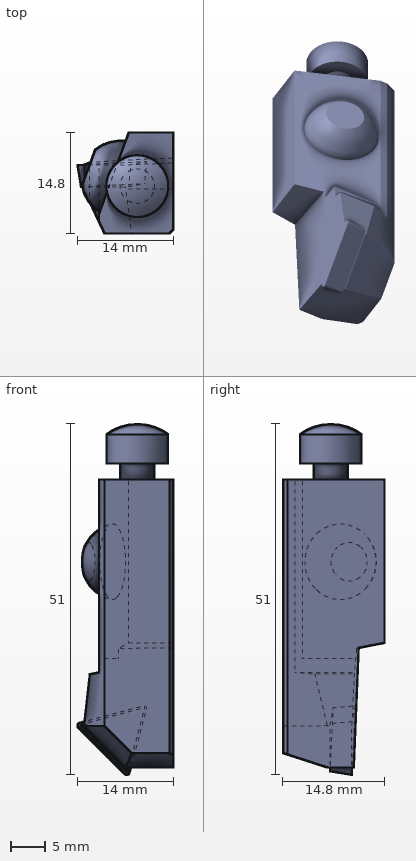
import cadquery as cq
import math


def tan(angle):
    return math.tan(math.radians(angle))


MARGIN = 30.0

right_x = 5.25
back_y = 7.83
front_y = -6.92
front_left_x = -4.77
flank_angle = 25.0
corner_chamfer = 0.6
side_x = -5.58
clamp_face_front_y = -4.08
clamp_face_angle = 20.0
clamp_face_bottom_z = 15.8
shank_top_z = 41.85

ledge_inner_z = 13.78
ledge_outer_x = -6.92
ledge_outer_z = 13.5
nose_foot_x = -7.75
nose_foot_z = 6.1

relief_angle = 18.0
relief_top_y = -0.43
foot_z = -0.1
lead_inset = 0.76

step_back_z = 18.05
step_front_z = 17.3
step_front_y = 3.97

rake_angle = 3.3
clearance_angle = 7.0
insert_edge = 11.0
insert_thickness = 3.18
insert_nose_radius = 0.42
edge_middle = cq.Vector(-5.21, 3.04, 2.35)

clamp_y = 1.4
clamp_z = 29.85
clamp_root_depth = 1.0
rim_diameter = 11.0
rim_height = 0.6
rim_taper = 0.15
dome_base_diameter = 10.38
dome_base_height = 1.0
dome_flat_diameter = 5.6
dome_height = 3.73
dome_radius = 5.6

neck_diameter = 5.0
head_diameter = 9.0
head_bottom_z = 44.15
head_rim_z = 48.4
head_top_z = 49.89

edge_direction = cq.Vector(1, 0, -1).normalized()
outward = cq.Vector(-1, 0, -1).normalized()
rake_normal = outward * tan(rake_angle) + cq.Vector(0, 1, 0)
insert_plane = cq.Plane(edge_middle, edge_direction, rake_normal * -1)
edge_section = cq.Plane(edge_middle, outward, edge_direction)


def make_insert():
    left_corner = (-insert_edge / 2, 0)
    right_corner = (insert_edge / 2, 0)
    apex = (0, insert_edge * math.sin(math.radians(60)))
    rake_face = (
        cq.Sketch()
        .polygon([left_corner, right_corner, apex, left_corner])
        .vertices()
        .fillet(insert_nose_radius)
    )
    return (
        cq.Workplane(insert_plane)
        .placeSketch(rake_face)
        .extrude(insert_thickness, taper=clearance_angle)
    )


def make_shank():
    """Full-length prism: square right side, angled flank on the left."""
    flank_back_x = front_left_x - (back_y - front_y) * tan(flank_angle)
    bar = (
        cq.Workplane("XY", origin=(0, 0, -MARGIN))
        .moveTo(front_left_x, front_y)
        .lineTo(right_x - corner_chamfer, front_y)
        .lineTo(right_x, front_y + corner_chamfer)
        .lineTo(right_x, back_y)
        .lineTo(flank_back_x, back_y)
        .close()
        .extrude(MARGIN + shank_top_z)
    )
    return bar.intersect(make_side_outline())


def make_side_outline():
    """Left outline: flat side, sloping ledge and nose widening towards the foot."""
    nose_slope = (nose_foot_x - ledge_outer_x) / (nose_foot_z - ledge_outer_z)
    nose_bottom_x = nose_foot_x - (MARGIN + nose_foot_z) * nose_slope
    return (
        cq.Workplane("XZ")
        .moveTo(side_x, shank_top_z)
        .lineTo(side_x, ledge_inner_z)
        .lineTo(ledge_outer_x, ledge_outer_z)
        .lineTo(nose_bottom_x, -MARGIN)
        .lineTo(MARGIN, -MARGIN)
        .lineTo(MARGIN, shank_top_z)
        .close()
        .extrude(MARGIN, both=True)
    )


def make_clamp_face_cut():
    far_x = side_x + MARGIN * tan(clamp_face_angle)
    return (
        cq.Workplane("XY", origin=(0, 0, clamp_face_bottom_z))
        .moveTo(side_x, clamp_face_front_y)
        .lineTo(far_x, clamp_face_front_y + MARGIN)
        .lineTo(side_x - MARGIN, clamp_face_front_y + MARGIN)
        .lineTo(side_x - MARGIN, clamp_face_front_y)
        .close()
        .extrude(MARGIN)
    )


def make_foot_cut():
    """Everything below the foot: level at the back, relieved towards the front."""
    return (
        cq.Workplane("YZ")
        .moveTo(MARGIN, foot_z)
        .lineTo(relief_top_y, foot_z)
        .lineTo(relief_top_y - MARGIN, foot_z + MARGIN * tan(relief_angle))
        .lineTo(relief_top_y - MARGIN, -MARGIN)
        .lineTo(MARGIN, -MARGIN)
        .close()
        .extrude(MARGIN, both=True)
    )


def make_lead_cut():
    """Everything outside the 45 degree face, which is relieved like the foot."""
    relief_start = relief_top_y - edge_middle.y
    return (
        cq.Workplane(edge_section)
        .moveTo(-lead_inset, MARGIN)
        .lineTo(-lead_inset, relief_start)
        .lineTo(-lead_inset - MARGIN * tan(relief_angle), relief_start - MARGIN)
        .lineTo(MARGIN, relief_start - MARGIN)
        .lineTo(MARGIN, MARGIN)
        .close()
        .extrude(MARGIN, both=True)
    )


def make_back_cut():
    """Lowers the back of the nose to the rake plane, up to a sloping step."""
    above_rake_plane = cq.Workplane(insert_plane).rect(4 * MARGIN, 4 * MARGIN).extrude(-MARGIN)
    step_slope = (step_back_z - step_front_z) / (back_y - step_front_y)
    below_step = (
        cq.Workplane("YZ")
        .moveTo(0, step_front_z - step_front_y * step_slope)
        .lineTo(MARGIN, step_front_z + (MARGIN - step_front_y) * step_slope)
        .lineTo(MARGIN, -MARGIN)
        .lineTo(0, -MARGIN)
        .close()
        .extrude(MARGIN, both=True)
    )
    return above_rake_plane.intersect(below_step)


def make_clamp_head():
    """Domed screw head with a flat top, square to the clamp face."""
    face_x = side_x + (clamp_y - clamp_face_front_y) * tan(clamp_face_angle)
    angle = math.radians(clamp_face_angle)
    axis = cq.Vector(-math.cos(angle), math.sin(angle), 0)
    section = cq.Plane((face_x, clamp_y, clamp_z), (0, 0, 1), cq.Vector(0, 0, 1).cross(axis))
    return (
        cq.Workplane(section)
        .moveTo(0, -clamp_root_depth)
        .lineTo(rim_diameter / 2, -clamp_root_depth)
        .lineTo(rim_diameter / 2, 0)
        .lineTo(rim_diameter / 2 - rim_taper, rim_height)
        .lineTo(dome_base_diameter / 2, dome_base_height)
        .radiusArc((dome_flat_diameter / 2, dome_height), -dome_radius)
        .lineTo(0, dome_height)
        .close()
        .revolve(360, (0, 0), (0, 1))
    )


def make_setting_screw():
    """Narrow neck and cylindrical head with a spherical top."""
    head_radius = head_diameter / 2
    crown = head_top_z - head_rim_z
    crown_radius = (head_radius**2 + crown**2) / (2 * crown)
    return (
        cq.Workplane("XZ")
        .moveTo(0, shank_top_z)
        .lineTo(neck_diameter / 2, shank_top_z)
        .lineTo(neck_diameter / 2, head_bottom_z)
        .lineTo(head_radius, head_bottom_z)
        .lineTo(head_radius, head_rim_z)
        .radiusArc((0, head_top_z), -crown_radius)
        .close()
        .revolve(360, (0, 0), (0, 1))
    )


insert = make_insert()

holder = make_shank()
for cutter in (make_clamp_face_cut(), make_foot_cut(), make_lead_cut(), make_back_cut()):
    holder = holder.cut(cutter)
holder = holder.union(make_clamp_head()).union(make_setting_screw())
holder = holder.cut(insert)

result = cq.Compound.makeCompound([*holder.vals(), insert.val()])